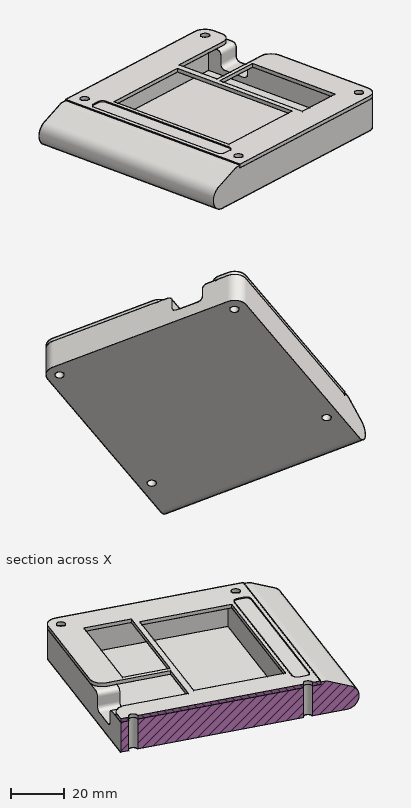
import cadquery as cq
import math

width = 85.0
length = 95.4
height = 14.5
corner_radius = 5.0

nose_radius = 5.1
slope_angle = math.radians(23.3)
nose_drop = 0.5
nose_top = height - nose_drop
slope_blend_radius = 3.0

plate_thickness = 1.5
plate_front = 15.5
ledge = height - plate_thickness

hole_diameter = 3.4
hole_inset = 5.1
front_hole_y = 20.5

cavity_floor = 3.0
cavity_side_wall = 10.0
cavity_back_wall = 9.0
cavity_front = 25.6
cavity_back = length - cavity_back_wall
channel_width = 13.0
channel_center_x = -20.0
channel_floor = 5.4
channel_blend_radius = 2.0

screen_window = (-27.4, 28.5, cavity_front, 62.3)
board_window = (-8.6, 31.6, 64.5, 83.5)
port_left = -28.8
port_right = -10.3
port_front = 65.0
port_flare_radius = 5.0

recess_half_length = 32.0
recess_front = 17.2
recess_back = 23.95
recess_depth = 0.5
recess_corner_radius = 2.0


def box_between(left, right, front, back, bottom, top):
    """Upright block given by its limits."""
    block = cq.Workplane("XY", origin=((left + right) / 2, (front + back) / 2, bottom))
    return block.rect(right - left, back - front).extrude(top - bottom)


def screw_holes():
    """Cutters for the four screw holes, one near each corner of the plate."""
    hole_x = width / 2 - hole_inset
    points = [(side * hole_x, y) for side in (-1, 1) for y in (front_hole_y, length - hole_inset)]
    return cq.Workplane("XY").pushPoints(points).circle(hole_diameter / 2).extrude(height)


def housing_block():
    """Side profile with ledge, sloped top and rounded nose, swept across the width."""
    sin_slope = math.sin(slope_angle)
    cos_slope = math.cos(slope_angle)
    slope_end_y = nose_radius * (1 - sin_slope)
    slope_end_z = nose_radius * (1 + cos_slope)
    crest_y = slope_end_y + (nose_top - slope_end_z) / math.tan(slope_angle)
    blend_reach = slope_blend_radius * math.tan(slope_angle / 2)
    blend_sag = slope_blend_radius * (1 - math.cos(slope_angle / 2))
    blend_start = crest_y + blend_reach
    profile = (
        cq.Workplane("YZ", origin=(-width / 2, 0, 0))
        .moveTo(nose_radius, 0)
        .lineTo(length, 0)
        .lineTo(length, ledge)
        .lineTo(plate_front, ledge)
        .lineTo(plate_front, nose_top)
        .lineTo(blend_start, nose_top)
        .threePointArc(
            (blend_start - slope_blend_radius * math.sin(slope_angle / 2), nose_top - blend_sag),
            (crest_y - blend_reach * cos_slope, nose_top - blend_reach * sin_slope),
        )
        .lineTo(slope_end_y, slope_end_z)
        .threePointArc((0, nose_radius), (nose_radius, 0))
        .close()
    )
    return profile.extrude(width).edges("|Z and >Y").fillet(corner_radius)


def cable_channel():
    """Channel through the back wall: rounded shoulders, upright sides, rounded floor corners."""
    r = channel_blend_radius
    half = channel_width / 2
    quarter = r * math.sin(math.pi / 4)
    half_profile = (
        cq.Workplane("XZ", origin=(channel_center_x, length, 0))
        .moveTo(0, channel_floor)
        .lineTo(half - r, channel_floor)
        .threePointArc((half - r + quarter, channel_floor + r - quarter), (half, channel_floor + r))
        .lineTo(half, ledge - r)
        .threePointArc((half + r - quarter, ledge - r + quarter), (half + r, ledge))
        .lineTo(0, ledge)
        .close()
    )
    right_half = half_profile.extrude(length - cavity_back)
    left_half = right_half.mirror("YZ", (channel_center_x, 0, 0))
    return right_half.union(left_half)


def make_housing():
    cavity_right = width / 2 - cavity_side_wall
    cavity = box_between(-cavity_right, cavity_right, cavity_front, cavity_back, cavity_floor, ledge)
    return housing_block().cut(cavity).cut(cable_channel()).cut(screw_holes())


def port_opening():
    """Opening from the back edge of the plate, flaring outwards where it meets that edge."""
    r = port_flare_radius
    quarter = r * math.sin(math.pi / 4)
    return (
        cq.Workplane("XY", origin=(0, 0, ledge))
        .moveTo(port_left, port_front)
        .lineTo(port_right, port_front)
        .lineTo(port_right, length - r)
        .threePointArc((port_right + r - quarter, length - r + quarter), (port_right + r, length))
        .lineTo(port_left - r, length)
        .threePointArc((port_left - r + quarter, length - r + quarter), (port_left, length - r))
        .close()
        .extrude(plate_thickness)
    )


def shallow_recess():
    """Blind pocket with rounded corners in the top of the plate."""
    pocket = box_between(
        -recess_half_length, recess_half_length, recess_front, recess_back, height - recess_depth, height
    )
    return pocket.edges("|Z").fillet(recess_corner_radius)


def make_cover_plate():
    plate = box_between(-width / 2, width / 2, plate_front, length, ledge, height)
    plate = plate.edges("|Z and >Y").fillet(corner_radius)
    for window in (screen_window, board_window):
        plate = plate.cut(box_between(*window, ledge, height))
    return plate.cut(shallow_recess()).cut(port_opening()).cut(screw_holes())


housing = make_housing()
cover_plate = make_cover_plate()

result = cq.Compound.makeCompound([housing.val(), cover_plate.val()])